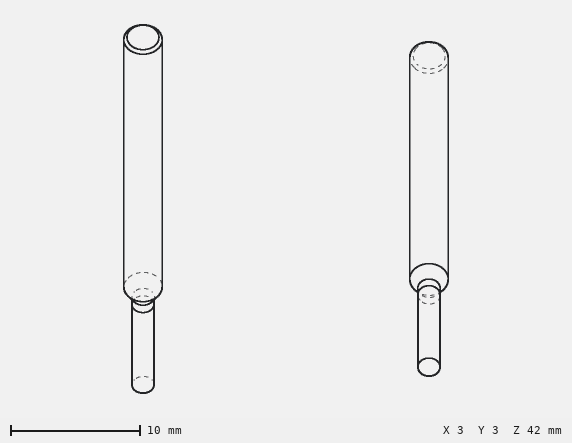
import cadquery as cq
import math

total_length = 42.0
shank_diameter = 3.0
cutter_diameter = 1.72
cutter_length = 10.0
neck_length = 0.9
shank_length = 29.95
top_chamfer = 0.25
point_angle = 140.0

shank_radius = shank_diameter / 2
cutter_radius = cutter_diameter / 2
point_height = cutter_radius / math.tan(math.radians(point_angle / 2))
neck_top = cutter_length + neck_length
shank_bottom = total_length - shank_length


def revolve_profile(points):
    """Turn a closed (radius, height) outline about the Z axis."""
    return cq.Workplane("XZ").polyline(points).close().revolve(360, (0, 0), (0, 1))


def make_holder():
    """Chamfered shank, taper and short neck."""
    return revolve_profile([
        (0, cutter_length),
        (cutter_radius, cutter_length),
        (cutter_radius, neck_top),
        (shank_radius, shank_bottom),
        (shank_radius, total_length - top_chamfer),
        (shank_radius - top_chamfer, total_length),
        (0, total_length),
    ])


def make_cutter():
    """Round cutting length with a conical point."""
    return revolve_profile([
        (0, 0),
        (cutter_radius, point_height),
        (cutter_radius, cutter_length),
        (0, cutter_length),
    ])


holder = make_holder()
cutter = make_cutter()

result = cq.Compound.makeCompound([holder.val(), cutter.val()])